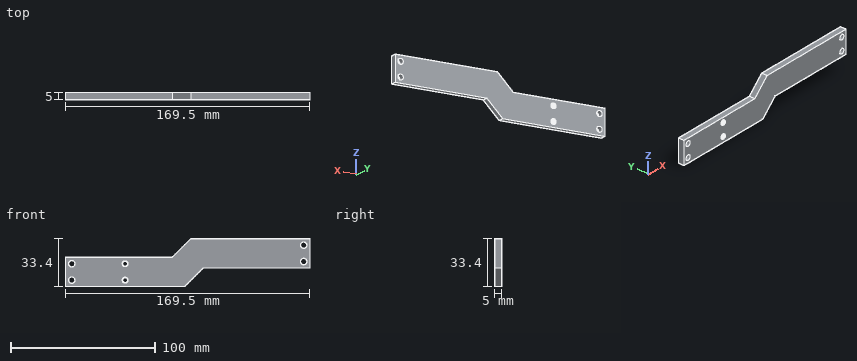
import cadquery as cq
import math

length = 169.5
height = 33.4
thickness = 5.0

arm_height = 20.5
offset = height - arm_height
bend_angle = 45.0
slope_run = offset / math.tan(math.radians(bend_angle))
miter_shift = arm_height * math.tan(math.radians(bend_angle / 2))
upper_bend_x = (length - slope_run - miter_shift) / 2
lower_bend_x = upper_bend_x + miter_shift

pair_spacing = 11.4
end_hole_diameter = 4.2
end_hole_inset = 4.4
inner_hole_x = 41.3
inner_hole_diameter = 3.4

thread_diameter = 4.0
thread_pitch = 0.7
groove_mouth_width = 0.61
groove_root_width = 0.1
groove_overlap = 0.08
run_out = 0.7


def hole_pair(x, arm_bottom):
    """Front-face workplane positions of two holes centred on an arm."""
    middle = arm_bottom + arm_height / 2
    return [(x, middle - pair_spacing / 2), (x, middle + pair_spacing / 2)]


def make_plate():
    """Offset bar with its front face on Y = 0 and its back at Y = thickness."""
    outline = [
        (0, 0),
        (lower_bend_x, 0),
        (lower_bend_x + slope_run, offset),
        (length, offset),
        (length, height),
        (upper_bend_x + slope_run, height),
        (upper_bend_x, arm_height),
        (0, arm_height),
    ]
    return cq.Workplane("XZ").polyline(outline).close().extrude(-thickness)


def cut_end_holes(plate):
    """Plain through holes at both ends of the bar."""
    centres = hole_pair(end_hole_inset, 0) + hole_pair(length - end_hole_inset, offset)
    cutters = cq.Workplane("XZ").pushPoints(centres).circle(end_hole_diameter / 2).extrude(-thickness)
    return plate.cut(cutters)


def make_thread_cutter():
    """Helical cutter along +Y that overruns both faces of the plate."""
    bore_radius = inner_hole_diameter / 2
    mouth_radius = bore_radius - groove_overlap
    root_radius = thread_diameter / 2
    path = cq.Wire.makeHelix(thread_pitch, thickness + 2 * run_out, bore_radius)
    profile = [
        (mouth_radius, -groove_mouth_width / 2),
        (root_radius, -groove_root_width / 2),
        (root_radius, groove_root_width / 2),
        (mouth_radius, groove_mouth_width / 2),
    ]
    groove = cq.Workplane("XZ").polyline(profile).close().sweep(cq.Workplane(obj=path), isFrenet=True)
    return groove.rotate((0, 0, 0), (1, 0, 0), -90).translate((0, -run_out, 0))


def cut_inner_holes(plate):
    """Threaded through holes on the lower arm."""
    centres = hole_pair(inner_hole_x, 0)
    bores = cq.Workplane("XZ").pushPoints(centres).circle(inner_hole_diameter / 2).extrude(-thickness)
    plate = plate.cut(bores)
    cutter = make_thread_cutter()
    for x, z in centres:
        plate = plate.cut(cutter.translate((x, 0, z)))
    return plate


result = cq.Workplane(obj=cut_inner_holes(cut_end_holes(make_plate())).solids().val())